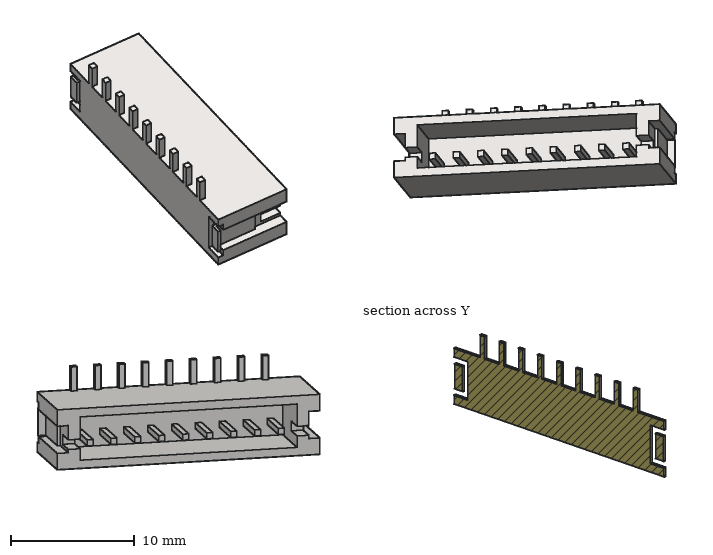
import cadquery as cq

housing_length = 21.95
housing_depth = 6.6
housing_height = 5.0

pin_count = 9
pin_pitch = 2.0
pin_size = 0.5
leg_projection = 2.0
pin_center_z = 1.88
pin_tip_recess = 0.94

cavity_wall = 0.7
cavity_end_wall = 1.0
cavity_back_wall = 2.0

channel_depth = 0.92
channel_height = 2.25

window_depth = 1.88
window_bottom = 1.65
window_top = 2.45

pocket_width = 1.4
pocket_height = 3.4
pocket_depth = 0.47

tab_thickness = 0.25
tab_length = 4.0
tab_inset = 0.05

half_length = housing_length / 2
mid_z = housing_height / 2
channel_bottom = mid_z - channel_height / 2
pocket_bottom = mid_z - pocket_height / 2
cavity_end_x = half_length - channel_depth - cavity_end_wall


def box(x_range, y_range, z_range):
    """Axis-aligned block between the given limits."""
    size = [high - low for low, high in (x_range, y_range, z_range)]
    corner = (x_range[0], y_range[0], z_range[0])
    return cq.Workplane("XY").box(*size, centered=False).translate(corner)


def both_ends(left_feature):
    """The -X feature together with its mirror image at the +X end."""
    return left_feature.union(left_feature.mirror("YZ"))


def make_housing():
    """Block hollowed from the mouth, with channels, windows and pockets at its ends."""
    block = box(
        (-half_length, half_length),
        (0, housing_depth),
        (0, housing_height),
    )
    cavity = box(
        (-cavity_end_x, cavity_end_x),
        (cavity_back_wall, housing_depth),
        (cavity_wall, housing_height - cavity_wall),
    )
    channel = box(
        (-half_length, -half_length + channel_depth),
        (0, housing_depth),
        (channel_bottom, channel_bottom + channel_height),
    )
    window = box(
        (-half_length, -cavity_end_x),
        (housing_depth - window_depth, housing_depth),
        (window_bottom, window_top),
    )
    pocket = box(
        (-half_length, -half_length + pocket_width),
        (0, pocket_depth),
        (pocket_bottom, pocket_bottom + pocket_height),
    )
    end_cuts = both_ends(channel.union(window).union(pocket))
    return block.cut(cavity).cut(end_cuts)


def make_solder_tab():
    """Plate against the channel wall at the -X end, with a foot bent outwards."""
    inner_x = -half_length + channel_depth
    z_range = (channel_bottom, channel_bottom + channel_height)
    plate = box((inner_x - tab_thickness, inner_x), (0, tab_length), z_range)
    foot = box((-half_length + tab_inset, inner_x), (0, tab_thickness), z_range)
    return plate.union(foot)


def make_pin(center_x):
    """Upright solder leg joined to a horizontal contact."""
    x_range = (center_x - pin_size / 2, center_x + pin_size / 2)
    bottom_z = pin_center_z - pin_size / 2
    leg = box(x_range, (0, pin_size), (bottom_z, housing_height + leg_projection))
    contact = box(
        x_range,
        (0, housing_depth - pin_tip_recess),
        (bottom_z, bottom_z + pin_size),
    )
    return leg.union(contact)


result = make_housing().union(both_ends(make_solder_tab()))
for index in range(pin_count):
    pin_x = (index - (pin_count - 1) / 2) * pin_pitch
    result = result.union(make_pin(pin_x))